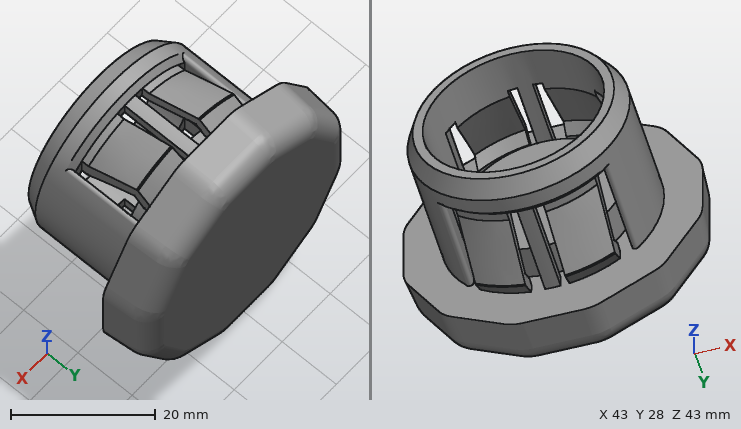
import cadquery as cq
import math


CAP_SIDES = 12
CAP_WIDTH = 43.0
CAP_THICKNESS = 8.0
CAP_DRAFT = 5.0
CAP_CORNER_RADIUS = 5.35
CAP_RIM_RADIUS = 3.3

TOTAL_LENGTH = 28.0
BARREL_LENGTH = TOTAL_LENGTH - CAP_THICKNESS
BARREL_RADIUS = 32.0 / 2
BORE_RADIUS = 26.1 / 2
LEAD_IN_LENGTH = 2.62
LEAD_IN_ANGLE = 30.0

BOSS_RADIUS = 23.65 / 2
BOSS_LENGTH = 5.0

WINDOW_HALF_WIDTH = 11.4
WINDOW_LENGTH = 14.05
WINDOW_CHAMFER = 1.0
WINDOW_SIDE_FILLET = 0.5

ARM_ROOT_RADIUS = BARREL_RADIUS - WINDOW_CHAMFER
RIB_WIDTH = 2.25
ARM_OUTER_X = 10.0
ARM_INNER_X = 1.6
ARM_INNER_DRAFT = 4.0
ARM_ANGLE = 21.0
ARM_ROOT_Y = -12.8
ARM_PEAK_Y = -3.95
ROOT_OVERLAP = 0.45
ARM_PEAK_LAND = 0.25
TIP_Y = -1.3
TIP_RADIUS = 16.85
HOOK_END_Y = -1.2
HOOK_Y = -2.6
HOOK_RADIUS = 15.35
HOOK_END_RADIUS = 15.55
ELBOW_Y = -4.35
ELBOW_RADIUS = 16.55
INNER_ROOT_Y = -13.07

REACH = 2 * BARREL_RADIUS


def revolve_profile(points):
    """Turn a closed outline of (radius, Y) points about the Y axis."""
    return cq.Workplane("XY").polyline(points).close().revolve(360, (0, 0, 0), (0, 1, 0))


def make_cap():
    corner_diameter = CAP_WIDTH / math.cos(math.pi / CAP_SIDES)
    half_side = 180 / CAP_SIDES
    cap = (
        cq.Workplane("XZ")
        .transformed(rotate=(0, 0, half_side))
        .polygon(CAP_SIDES, corner_diameter)
        .extrude(-CAP_THICKNESS, taper=CAP_DRAFT)
    )
    cap = cap.edges("not #Y").fillet(CAP_CORNER_RADIUS)
    return cap.faces(">Y").edges().fillet(CAP_RIM_RADIUS)


def make_barrel():
    lead_in_depth = LEAD_IN_LENGTH * math.tan(math.radians(LEAD_IN_ANGLE))
    return revolve_profile([
        (BORE_RADIUS, 0),
        (BARREL_RADIUS, 0),
        (BARREL_RADIUS, LEAD_IN_LENGTH - BARREL_LENGTH),
        (BARREL_RADIUS - lead_in_depth, -BARREL_LENGTH),
        (BORE_RADIUS, -BARREL_LENGTH),
    ])


def make_window_cutter():
    """Upper window: straight sides rounded into the barrel surface, and a sloping far end."""
    centre_x = WINDOW_HALF_WIDTH + WINDOW_SIDE_FILLET
    centre_radius = BARREL_RADIUS - WINDOW_SIDE_FILLET
    centre_z = math.sqrt(centre_radius**2 - centre_x**2)
    blend_angle = math.atan2(centre_z, centre_x)
    middle_angle = (blend_angle + math.pi) / 2
    middle_x = centre_x + WINDOW_SIDE_FILLET * math.cos(middle_angle)
    middle_z = centre_z + WINDOW_SIDE_FILLET * math.sin(middle_angle)
    blend_x = BARREL_RADIUS * math.cos(blend_angle)
    blend_z = BARREL_RADIUS * math.sin(blend_angle)
    flare = REACH / BARREL_RADIUS
    prism = (
        cq.Workplane("XZ")
        .moveTo(-WINDOW_HALF_WIDTH, 0)
        .lineTo(WINDOW_HALF_WIDTH, 0)
        .lineTo(WINDOW_HALF_WIDTH, centre_z)
        .threePointArc((middle_x, middle_z), (blend_x, blend_z))
        .lineTo(blend_x * flare, blend_z * flare)
        .lineTo(-blend_x * flare, blend_z * flare)
        .lineTo(-blend_x, blend_z)
        .threePointArc((-middle_x, middle_z), (-WINDOW_HALF_WIDTH, centre_z))
        .close()
        .extrude(REACH)
    )
    slope_rise = 2 * WINDOW_CHAMFER
    envelope = revolve_profile([
        (0, 0),
        (ARM_ROOT_RADIUS + slope_rise, 0),
        (ARM_ROOT_RADIUS + slope_rise, -WINDOW_LENGTH - slope_rise),
        (ARM_ROOT_RADIUS, -WINDOW_LENGTH),
        (0, -WINDOW_LENGTH),
    ])
    return prism.intersect(envelope)


def make_ribs():
    wall = revolve_profile([
        (BORE_RADIUS, 0),
        (ARM_ROOT_RADIUS, 0),
        (ARM_ROOT_RADIUS, -WINDOW_LENGTH),
        (BORE_RADIUS, -WINDOW_LENGTH),
    ])
    return wall.intersect(cq.Workplane("XY").box(RIB_WIDTH, REACH, 2 * REACH))


def make_arms():
    """Four bent arms, cut from one turned ring: a left and a right one in each window."""
    slope = math.tan(math.radians(ARM_ANGLE))
    peak_radius = ARM_ROOT_RADIUS + (ARM_PEAK_Y - ARM_ROOT_Y) * slope
    root_end_y = -WINDOW_LENGTH - ROOT_OVERLAP
    ring = revolve_profile([
        (BORE_RADIUS, root_end_y),
        (ARM_ROOT_RADIUS, root_end_y),
        (ARM_ROOT_RADIUS, ARM_ROOT_Y),
        (peak_radius, ARM_PEAK_Y),
        (peak_radius, ARM_PEAK_Y + ARM_PEAK_LAND),
        (TIP_RADIUS, TIP_Y),
        (HOOK_END_RADIUS, HOOK_END_Y),
        (HOOK_RADIUS, HOOK_Y),
        (ELBOW_RADIUS, ELBOW_Y),
        (BORE_RADIUS, INNER_ROOT_Y),
    ])
    lean = REACH * math.tan(math.radians(ARM_INNER_DRAFT))
    slice_right = (
        cq.Workplane("XZ")
        .polyline([
            (ARM_INNER_X, 0),
            (ARM_OUTER_X, 0),
            (ARM_OUTER_X, REACH),
            (ARM_INNER_X + lean, REACH),
        ])
        .close()
        .extrude(REACH)
    )
    right = ring.intersect(slice_right)
    upper = right.union(right.mirror("YZ"))
    return upper.union(upper.rotate((0, 0, 0), (0, 1, 0), 180))


boss = cq.Workplane("XZ").circle(BOSS_RADIUS).extrude(BOSS_LENGTH)
upper_window = make_window_cutter()
sleeve = make_barrel().cut(upper_window).cut(upper_window.mirror("XY"))
result = make_arms().union(sleeve).union(make_ribs()).union(make_cap()).union(boss)